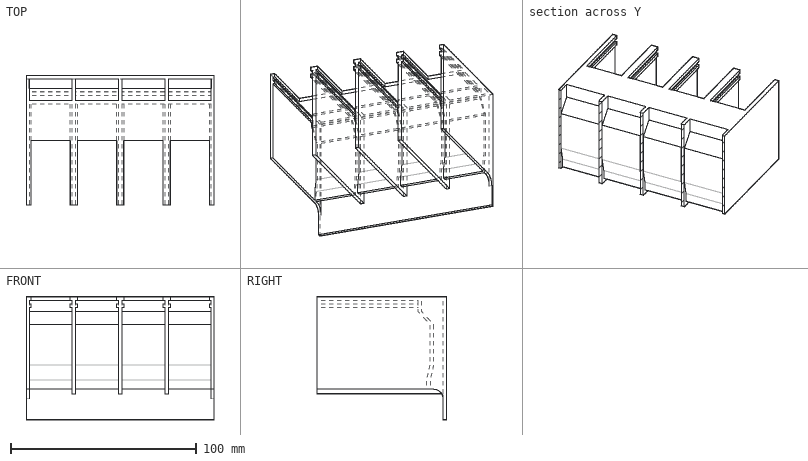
import cadquery as cq

WIDTH = 101.2
DEPTH = 70.0
HEIGHT = 66.5

END_WALL = 1.5
DIVIDER = 2.0
BACK_WALL = 2.0
ROOF = 2.0
CHUTE_WALL = 2.0

BAY_COUNT = 4
BAY_WIDTH = (WIDTH - 2 * END_WALL - (BAY_COUNT - 1) * DIVIDER) / BAY_COUNT
BAY_PITCH = BAY_WIDTH + DIVIDER

END_WALL_DROP = 50.0
DIVIDER_DROP = 52.5
CORNER_RADIUS = 5.0

ROOF_FRONT = 35.2

RAIL_WIDTH = 1.0
RAIL_DROP = 4.0
RAIL_HEIGHT = 2.0

CHUTE_INLET = 13.5
CHUTE_NARROW = 7.0
CHUTE_OUTLET = 8.8
UPPER_BEND_START = 8.0
UPPER_BEND_END = 15.0
LOWER_BEND_START = 37.0
LOWER_BEND_END = 45.0
CHUTE_DROP = 50.0



def block(x, width, back, front, top_drop, bottom_drop):
    """Box placed by distances forward from the back face and down from the top."""
    corner = (x, -front, HEIGHT - bottom_drop)
    size = (width, front - back, bottom_drop - top_drop)
    return cq.Workplane("XY", origin=corner).box(*size, centered=False)


def bay_left(index):
    return END_WALL + index * BAY_PITCH


def end_wall(x):
    """Outer plate with a concave rounded corner running into the back wall."""
    wall = block(x, END_WALL, 0, DEPTH, 0, END_WALL_DROP)
    corner_front = -(BACK_WALL + CORNER_RADIUS)
    corner_top = HEIGHT - END_WALL_DROP
    corner = (
        cq.Workplane("YZ", origin=(x, 0, 0))
        .moveTo(-BACK_WALL, corner_top)
        .lineTo(corner_front, corner_top)
        .radiusArc((-BACK_WALL, corner_top - CORNER_RADIUS), CORNER_RADIUS)
        .close()
        .extrude(END_WALL)
    )
    return wall.union(corner)


def chute_wall():
    """Bent full-width sheet in front of the back wall; the gap narrows in the middle."""
    bends = [
        (CHUTE_INLET, 0),
        (CHUTE_INLET, UPPER_BEND_START),
        (CHUTE_NARROW, UPPER_BEND_END),
        (CHUTE_NARROW, LOWER_BEND_START),
        (CHUTE_OUTLET, LOWER_BEND_END),
        (CHUTE_OUTLET, CHUTE_DROP),
    ]
    front_face = [(back + CHUTE_WALL, drop) for back, drop in reversed(bends)]
    outline = [(-back, HEIGHT - drop) for back, drop in bends + front_face]
    return cq.Workplane("YZ").polyline(outline).close().extrude(WIDTH)


def rails(x):
    """Top lip and lower rail that together form a card groove."""
    rail = block(x, RAIL_WIDTH, CHUTE_INLET, DEPTH, RAIL_DROP, RAIL_DROP + RAIL_HEIGHT)
    lip = block(x, RAIL_WIDTH, CHUTE_INLET, DEPTH, 0, ROOF)
    return lip.union(rail)


result = block(0, WIDTH, 0, BACK_WALL, 0, HEIGHT)
result = result.union(block(0, WIDTH, CHUTE_INLET, ROOF_FRONT, 0, ROOF))
result = result.union(chute_wall())

for wall_x in (0, WIDTH - END_WALL):
    result = result.union(end_wall(wall_x))

for divider in range(1, BAY_COUNT):
    result = result.union(block(bay_left(divider) - DIVIDER, DIVIDER, 0, DEPTH, 0, DIVIDER_DROP))

for bay in range(BAY_COUNT):
    left = bay_left(bay)
    result = result.union(rails(left))
    result = result.union(rails(left + BAY_WIDTH - RAIL_WIDTH))